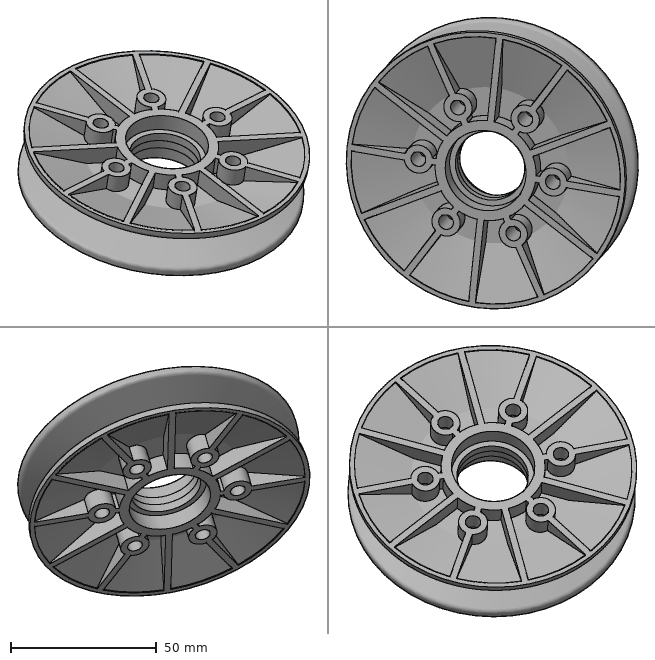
import cadquery as cq
import math

RIM_DIAMETER = 98.4
HALF_WIDTH = 9.4
GROOVE_ROOT_DIAMETER = 58.5
GROOVE_FLANK_ANGLE = 18.6
RIM_FILLET = 1.5

RIM_WALL = 1.7
RIM_LEDGE_DEPTH = 0.4
FLOOR_DIAMETER = 55.5
FLOOR_HEIGHT = 2.8

HUB_DIAMETER = 35.6
SEAT_DIAMETER = 28.5
SEAT_DEPTH = 6.2
BORE_DIAMETER = 24.4

RIB_COUNT = 12
RIB_THICKNESS = 2.4
BOSS_COUNT = 6
BOSS_DIAMETER = 10.0
BOSS_CIRCLE_DIAMETER = 47.7
SCREW_HOLE_DIAMETER = 5.2

COLLAR_DIAMETER = 7.2
COLLAR_HEIGHT = 2.4
SOCKET_DIAMETER = 7.4
SOCKET_DEPTH = COLLAR_HEIGHT

SPIN = 2.0
SIDE_TILT = 1.5
FORWARD_TILT = 15.85

RIM_RADIUS = RIM_DIAMETER / 2
POCKET_RADIUS = RIM_RADIUS - RIM_WALL
LEDGE_HEIGHT = HALF_WIDTH - RIM_LEDGE_DEPTH


def disc(diameter, height, base=0.0):
    """Solid cylinder on the pulley axis."""
    return cq.Workplane("XY").workplane(offset=base).circle(diameter / 2).extrude(height)


def flange():
    """Dished flange: sloping groove flank inside, hollow outside."""
    root_radius = GROOVE_ROOT_DIAMETER / 2
    flank_rise = (RIM_RADIUS - root_radius) * math.tan(math.radians(GROOVE_FLANK_ANGLE))
    outline = (
        cq.Workplane("XZ")
        .moveTo(0, 0)
        .lineTo(root_radius, 0)
        .lineTo(RIM_RADIUS, flank_rise)
        .lineTo(RIM_RADIUS, HALF_WIDTH)
        .lineTo(POCKET_RADIUS, HALF_WIDTH)
        .lineTo(POCKET_RADIUS, LEDGE_HEIGHT)
        .lineTo(FLOOR_DIAMETER / 2, FLOOR_HEIGHT)
        .lineTo(0, FLOOR_HEIGHT)
        .close()
    )
    body = outline.revolve(360, (0, 0, 0), (0, 1, 0))
    rim_corner = cq.selectors.NearestToPointSelector((RIM_RADIUS, 0, flank_rise))
    return body.edges("%CIRCLE").edges(rim_corner).fillet(RIM_FILLET)


def ribs():
    """Radial ribs that fill the dish up to the outer face."""
    blades = cq.Workplane("XY")
    for index in range(RIB_COUNT // 2):
        blade = cq.Workplane("XY").box(
            RIM_DIAMETER, RIB_THICKNESS, HALF_WIDTH, centered=(True, True, False)
        )
        blades = blades.union(blade.rotate((0, 0, 0), (0, 0, 1), index * 360 / RIB_COUNT))
    dish = (
        cq.Workplane("XZ")
        .moveTo(0, FLOOR_HEIGHT)
        .lineTo(FLOOR_DIAMETER / 2, FLOOR_HEIGHT)
        .lineTo(POCKET_RADIUS, LEDGE_HEIGHT)
        .lineTo(POCKET_RADIUS, HALF_WIDTH)
        .lineTo(0, HALF_WIDTH)
        .close()
        .revolve(360, (0, 0, 0), (0, 1, 0))
    )
    return blades.intersect(dish)


def at_bosses(diameter, height, base=0.0):
    """One cylinder on the axis of every screw boss."""
    return (
        cq.Workplane("XY")
        .workplane(offset=base)
        .polarArray(BOSS_CIRCLE_DIAMETER / 2, 0, 360, BOSS_COUNT)
        .circle(diameter / 2)
        .extrude(height)
    )


def plain_half():
    """Half pulley on the +Z side of the middle plane, before bosses are drilled."""
    return (
        flange()
        .union(ribs())
        .union(disc(HUB_DIAMETER, HALF_WIDTH))
        .union(at_bosses(BOSS_DIAMETER, HALF_WIDTH))
        .cut(disc(BORE_DIAMETER, HALF_WIDTH))
        .cut(disc(SEAT_DIAMETER, SEAT_DEPTH, HALF_WIDTH - SEAT_DEPTH))
    )


def upper_half():
    """Half with a socket around every screw hole."""
    return (
        plain_half()
        .cut(at_bosses(SOCKET_DIAMETER, SOCKET_DEPTH))
        .cut(at_bosses(SCREW_HOLE_DIAMETER, HALF_WIDTH))
    )


def lower_half():
    """Mirrored half with a collar around every screw hole."""
    return (
        plain_half()
        .mirror("XY")
        .union(at_bosses(COLLAR_DIAMETER, COLLAR_HEIGHT))
        .cut(at_bosses(SCREW_HOLE_DIAMETER, HALF_WIDTH + COLLAR_HEIGHT, -HALF_WIDTH))
    )


def tilted(body):
    """Turn a body from the upright position into its final attitude."""
    return (
        body.rotate((0, 0, 0), (0, 0, 1), SPIN)
        .rotate((0, 0, 0), (0, 1, 0), SIDE_TILT)
        .rotate((0, 0, 0), (1, 0, 0), -FORWARD_TILT)
    )


upper = tilted(upper_half())
lower = tilted(lower_half())

result = cq.Compound.makeCompound([upper.solids().val(), lower.solids().val()])